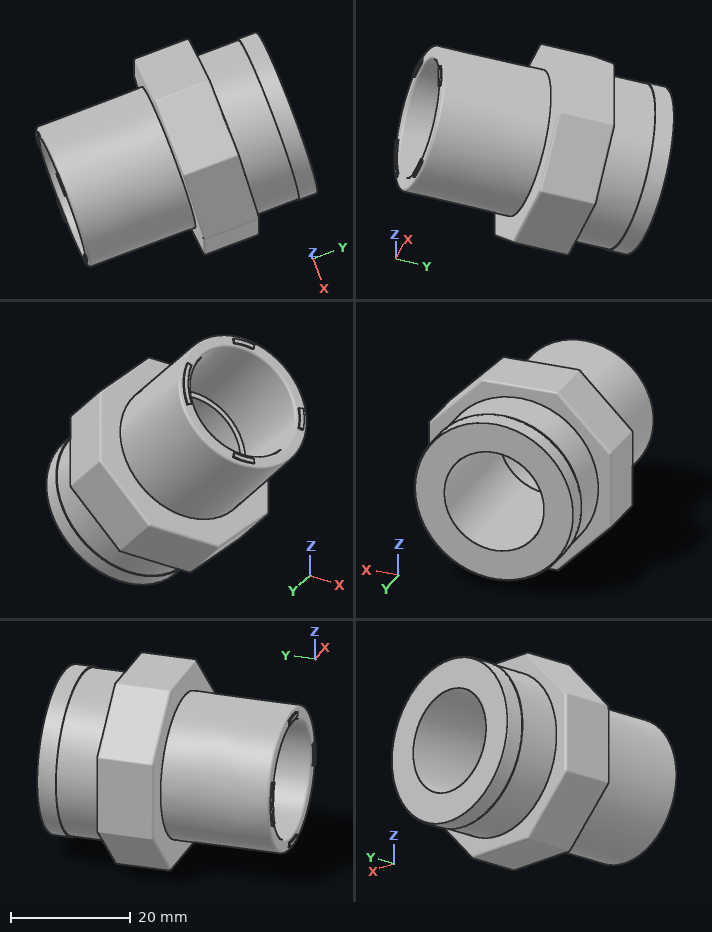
import cadquery as cq
import math


total_length = 40.45
pad_height = 0.3
spigot_face = pad_height
grip_start = 19.3
grip_width = 10.0
grip_end = grip_start + grip_width
ring_width = 3.3
ring_start = total_length - ring_width

grip_sides = 8
grip_across_flats = 33.0

spigot_root_diameter = 25.25
spigot_tip_diameter = 25.1

collar_diameter = 28.5
ring_diameter = 28.85
ring_edge_radius = 0.15

bore_diameter = 18.0
socket_mouth_diameter = 20.35
socket_floor_diameter = 20.0
socket_depth = 16.02

edge_radius = 0.5

pad_inner_diameter = 21.75
pad_outer_diameter = 23.4
short_pad_angle = 20.0
long_pad_angle = 40.0


def round_bar(start, end, start_diameter, end_diameter=None):
    """Cylinder or cone along Y between two stations."""
    start_radius = start_diameter / 2
    end_radius = (end_diameter or start_diameter) / 2
    profile = cq.Workplane("XY").polyline(
        [(0, start), (start_radius, start), (end_radius, end), (0, end)]
    )
    return profile.close().revolve(360, (0, 0), (0, 1))


def make_grip():
    across_corners = grip_across_flats / math.cos(math.pi / grip_sides)
    half_side_angle = 180 / grip_sides
    return (
        cq.Workplane("XZ", origin=(0, grip_end, 0))
        .transformed(rotate=(0, 0, half_side_angle))
        .polygon(grip_sides, across_corners)
        .extrude(grip_width)
        .edges()
        .fillet(edge_radius)
    )


def make_spigot():
    spigot = round_bar(spigot_face, grip_end, spigot_tip_diameter, spigot_root_diameter)
    return spigot.faces("<Y").edges().fillet(edge_radius)


def make_pad(centre_angle, spread_angle):
    """Arc-shaped pad on the spigot face; angles run from +X towards +Z."""
    inner_radius = pad_inner_diameter / 2
    outer_radius = pad_outer_diameter / 2
    pad_end_angle = centre_angle + spread_angle / 2
    pad_start_angle = centre_angle - spread_angle / 2

    def polar(radius, angle):
        turn = math.radians(angle)
        return (radius * math.cos(turn), radius * math.sin(turn))

    return (
        cq.Workplane("XZ", origin=(0, spigot_face, 0))
        .moveTo(*polar(inner_radius, pad_start_angle))
        .lineTo(*polar(outer_radius, pad_start_angle))
        .threePointArc(polar(outer_radius, centre_angle), polar(outer_radius, pad_end_angle))
        .lineTo(*polar(inner_radius, pad_end_angle))
        .threePointArc(polar(inner_radius, centre_angle), polar(inner_radius, pad_start_angle))
        .close()
        .extrude(pad_height)
    )


def make_housing():
    collar = round_bar((grip_start + grip_end) / 2, total_length, collar_diameter)
    housing = make_grip().union(make_spigot()).union(collar)

    socket_floor = spigot_face + socket_depth
    housing = housing.cut(round_bar(spigot_face, total_length, bore_diameter))
    housing = housing.cut(
        round_bar(spigot_face, socket_floor, socket_mouth_diameter, socket_floor_diameter)
    )
    socket_mouth = housing.faces("<Y").edges(cq.selectors.RadiusNthSelector(0))
    housing = socket_mouth.fillet(edge_radius)

    for centre_angle in (0, 90, 270):
        housing = housing.union(make_pad(centre_angle, short_pad_angle))
    return housing.union(make_pad(180, long_pad_angle))


def make_ring():
    ring = round_bar(ring_start, total_length, ring_diameter)
    ring = ring.faces(">Y").edges().fillet(ring_edge_radius)
    return ring.cut(round_bar(ring_start, total_length, collar_diameter))


housing = make_housing()
reinforcing_ring = make_ring()

result = cq.Compound.makeCompound([housing.val(), reinforcing_ring.val()])